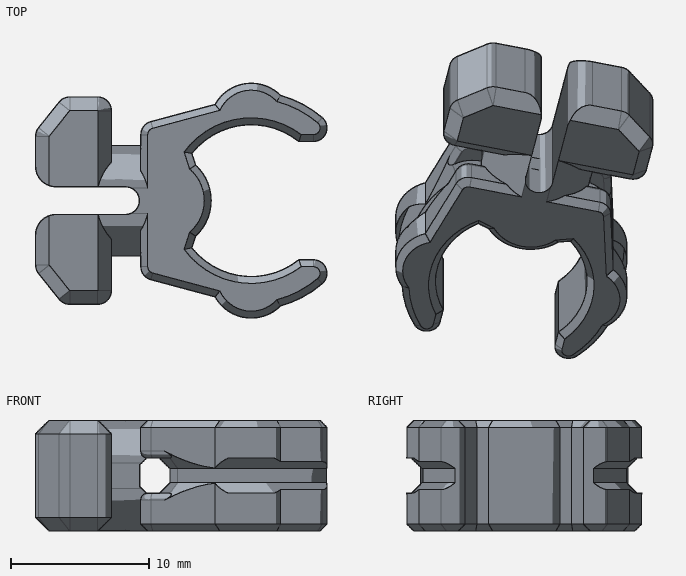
import cadquery as cq
import math

length = 21.08
height = 8.0
half_height = height / 2

head_length = 5.5
head_half_width = 7.5
head_bevel_x = 2.0
head_bevel_y = 2.5
head_corner_radius = 1.01
head_chamfer = 1.0

neck_radius = 4.11
neck_overlap = 0.63

slot_half_width = 1.0
slot_end_x = 7.5
slot_mouth_radius = 1.5

jaw_front_x = 7.6
jaw_center_x = 15.6
jaw_inner_radius = 5.48
jaw_outer_radius = 7.9
jaw_chamfer = 0.5
jaw_corner_radius = 1.0
jaw_tip_radius = 1.0
shoulder_start_y = 5.52
shoulder_angle = 15.0
bump_radius = 3.0
bump_center_y = 5.5
stop_center_x = 9.21
stop_radius = 3.5
stop_end_y = 2.57
seat_corner_y = 3.41

groove_half_width = 1.26
groove_floor_half_width = 0.5
groove_floor_radius = 7.4
groove_front_x = 7.55
groove_front_chamfer = 0.48
groove_back_x = 9.72
groove_blend_radius = 2.0
groove_lip_radius = 0.5


def head_block():
    """Six-sided head, with its rims chamfered before the slot is cut."""
    bevel_end_y = head_half_width - head_bevel_y
    return (
        cq.Workplane("XY")
        .workplane(offset=-half_height)
        .moveTo(0, -bevel_end_y)
        .lineTo(head_bevel_x, -head_half_width)
        .lineTo(head_length, -head_half_width)
        .lineTo(head_length, head_half_width)
        .lineTo(head_bevel_x, head_half_width)
        .lineTo(0, bevel_end_y)
        .close()
        .extrude(height)
        .edges("|Z")
        .fillet(head_corner_radius)
        .faces("<Z or >Z")
        .chamfer(head_chamfer)
    )


def neck_bar():
    """Round bar along X, flattened to the height of the part."""
    start_x = head_length / 2
    bar_length = jaw_front_x + neck_overlap - start_x
    flats = cq.Workplane("XY").box(2 * length, height, height)
    bar = cq.Workplane("YZ").workplane(offset=start_x).circle(neck_radius).extrude(bar_length)
    return bar.intersect(flats)


def point_on_circle(center, radius, angle):
    """Point at the given distance and direction (radians) from a center."""
    return (center[0] + radius * math.cos(angle), center[1] + radius * math.sin(angle))


def jaw_half_points():
    """Corner and arc points of the upper half (Y > 0) of the jaw outline."""
    center = (jaw_center_x, 0)
    bump_center = (jaw_center_x, bump_center_y)

    slope = math.radians(shoulder_angle)
    offset_x = jaw_front_x - bump_center[0]
    offset_y = shoulder_start_y - bump_center[1]
    along = offset_x * math.cos(slope) + offset_y * math.sin(slope)
    reach = -along - math.sqrt(along**2 - offset_x**2 - offset_y**2 + bump_radius**2)
    bump_start = point_on_circle((jaw_front_x, shoulder_start_y), reach, slope)

    bump_end_y = (jaw_outer_radius**2 - bump_radius**2 + bump_center_y**2) / (2 * bump_center_y)
    bump_end_angle = math.asin(bump_end_y / jaw_outer_radius)

    tip_center_x = length - jaw_tip_radius
    tip_angle = math.acos((tip_center_x - jaw_center_x) / (jaw_outer_radius - jaw_tip_radius))
    tip_center = point_on_circle(center, jaw_outer_radius - jaw_tip_radius, tip_angle)
    flat_y = tip_center[1] - jaw_tip_radius

    flat_angle = math.asin(flat_y / jaw_inner_radius)
    seat_angle = math.pi - math.asin(seat_corner_y / jaw_inner_radius)
    return {
        "front": (jaw_front_x, shoulder_start_y),
        "bump_start": bump_start,
        "bump_top": (jaw_center_x, bump_center_y + bump_radius),
        "bump_end": point_on_circle(center, jaw_outer_radius, bump_end_angle),
        "arm_middle": point_on_circle(center, jaw_outer_radius, (bump_end_angle + tip_angle) / 2),
        "tip_start": point_on_circle(center, jaw_outer_radius, tip_angle),
        "tip_middle": (length, tip_center[1]),
        "tip_end": (tip_center_x, flat_y),
        "flat_end": point_on_circle(center, jaw_inner_radius, flat_angle),
        "seat_middle": (jaw_center_x, jaw_inner_radius),
        "seat_end": point_on_circle(center, jaw_inner_radius, seat_angle),
        "stop_start": (stop_center_x + math.sqrt(stop_radius**2 - stop_end_y**2), stop_end_y),
        "stop_middle": (stop_center_x + stop_radius, 0),
    }


def jaw_body():
    """C-shaped jaw with a round stop at its root and chamfered rims."""
    up = jaw_half_points()
    down = {name: (x, -y) for name, (x, y) in up.items()}
    return (
        cq.Workplane("XY")
        .workplane(offset=-half_height)
        .moveTo(*up["front"])
        .lineTo(*up["bump_start"])
        .threePointArc(up["bump_top"], up["bump_end"])
        .threePointArc(up["arm_middle"], up["tip_start"])
        .threePointArc(up["tip_middle"], up["tip_end"])
        .lineTo(*up["flat_end"])
        .threePointArc(up["seat_middle"], up["seat_end"])
        .lineTo(*up["stop_start"])
        .threePointArc(up["stop_middle"], down["stop_start"])
        .lineTo(*down["seat_end"])
        .threePointArc(down["seat_middle"], down["flat_end"])
        .lineTo(*down["tip_end"])
        .threePointArc(down["tip_middle"], down["tip_start"])
        .threePointArc(down["arm_middle"], down["bump_end"])
        .threePointArc(down["bump_top"], down["bump_start"])
        .lineTo(*down["front"])
        .close()
        .extrude(height)
        .edges("|Z and <X")
        .fillet(jaw_corner_radius)
        .faces("<Z or >Z")
        .chamfer(jaw_chamfer)
    )


def groove_core(start_z, thickness, taper=0):
    """Layer of the groove core: a disc cut flat at the front, with blended corners."""
    blend_center_x = groove_back_x + groove_blend_radius
    blend_angle = math.acos(
        (blend_center_x - jaw_center_x) / (groove_floor_radius - groove_blend_radius)
    )
    blend_center = point_on_circle(
        (jaw_center_x, 0), groove_floor_radius - groove_blend_radius, blend_angle
    )
    blend_end = point_on_circle(blend_center, groove_blend_radius, blend_angle)
    blend_middle = point_on_circle(
        blend_center, groove_blend_radius, (blend_angle + math.pi) / 2
    )
    return (
        cq.Workplane("XY")
        .workplane(offset=start_z)
        .moveTo(groove_back_x, -blend_center[1])
        .lineTo(groove_back_x, blend_center[1])
        .threePointArc(blend_middle, blend_end)
        .threePointArc(
            (jaw_center_x + groove_floor_radius, 0), (blend_end[0], -blend_end[1])
        )
        .threePointArc((blend_middle[0], -blend_middle[1]), (groove_back_x, -blend_center[1]))
        .close()
        .extrude(thickness, taper=taper)
    )


def groove_slab():
    """Slab as wide as the groove, reaching from the neck past the tips of the jaw."""
    return (
        cq.Workplane("XY")
        .box(length, length, 2 * groove_half_width)
        .translate((groove_front_x + length / 2, 0, 0))
    )


def flared_core():
    """Core whose rims flare outward at 45 degrees as far as the tops of the rounded lips."""
    flare_height = groove_half_width + groove_lip_radius - groove_floor_half_width
    upper_flare = groove_core(groove_floor_half_width, flare_height, taper=-45)
    lower_flare = upper_flare.mirror("XY")
    floor = groove_core(-groove_floor_half_width, 2 * groove_floor_half_width)
    return floor.union(upper_flare).union(lower_flare)


def slot_cutter():
    """Slot along X with a round inner end and a flared, rounded mouth."""
    mouth_y = slot_half_width + slot_mouth_radius
    end_center_x = slot_end_x - slot_half_width
    bulge = slot_mouth_radius * (1 - math.sqrt(0.5))
    return (
        cq.Workplane("XY")
        .workplane(offset=-height)
        .moveTo(0, mouth_y)
        .threePointArc((bulge, slot_half_width + bulge), (slot_mouth_radius, slot_half_width))
        .lineTo(end_center_x, slot_half_width)
        .threePointArc((slot_end_x, 0), (end_center_x, -slot_half_width))
        .lineTo(slot_mouth_radius, -slot_half_width)
        .threePointArc((bulge, -slot_half_width - bulge), (0, -mouth_y))
        .close()
        .extrude(2 * height)
    )


def grooved_jaw():
    """Jaw split by the groove and rejoined by the core, with rounded lips along its shoulders."""
    body = jaw_body()
    front_lips = cq.selectors.BoxSelector(
        (jaw_front_x - groove_lip_radius, -jaw_outer_radius, -groove_half_width - groove_lip_radius),
        (jaw_front_x + groove_lip_radius, jaw_outer_radius, groove_half_width + groove_lip_radius),
    )
    plates = body.cut(groove_slab()).edges("|Y").edges(front_lips).fillet(groove_lip_radius)
    return plates.union(body.intersect(flared_core()))


def grooved_neck():
    """Neck bar whose end at the groove has bevelled corners."""
    slab = groove_slab().edges("|Y and <X").chamfer(groove_front_chamfer)
    return neck_bar().cut(slab)


result = head_block().union(grooved_neck()).union(grooved_jaw()).cut(slot_cutter())